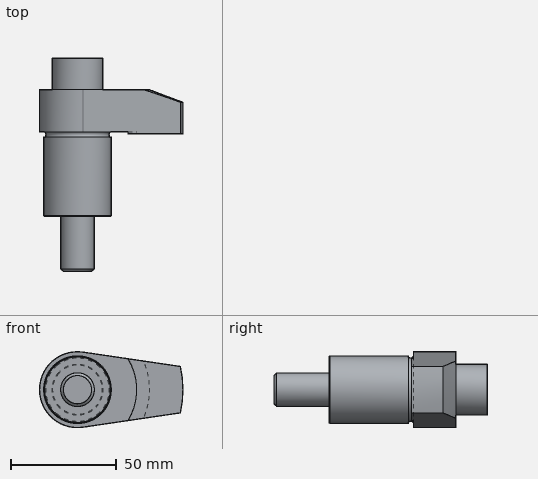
import cadquery as cq
import math

knob_length = 15.0
hub_length = 20.0
body_length = 40.0
pin_length = 26.0

knob_diameter = 24.0
hub_diameter = 36.0
body_diameter = 32.0
pin_diameter = 16.0

knob_chamfer = 0.3
body_chamfer = 0.5
pin_chamfer = 1.3
groove_width = 2.4
groove_diameter = 30.0
groove_hub_diameter = 31.5
groove_body_diameter = 30.8

arm_tip_radius = 49.9
arm_pad_radius = 28.0
arm_slope_radius = 34.0
arm_pad_height = 0.9
arm_slope_drop = 6.0
arm_tip_half_width = 11.0

hub_radius = hub_diameter / 2


def revolve_about_y(profile):
    """Turn a closed (radius, Y) profile a full revolution about the Y axis."""
    return profile.close().revolve(360, (0, 0, 0), (0, 1, 0))


def make_spindle():
    """Knob, hub core, grooved body and pin as one turned shape."""
    knob_radius = knob_diameter / 2
    body_radius = body_diameter / 2
    pin_radius = pin_diameter / 2
    body_end = -body_length
    pin_end = body_end - pin_length
    knob_end = hub_length + knob_length
    profile = (
        cq.Workplane("XY")
        .moveTo(0, pin_end)
        .lineTo(pin_radius - pin_chamfer, pin_end)
        .lineTo(pin_radius, pin_end + pin_chamfer)
        .lineTo(pin_radius, body_end)
        .lineTo(body_radius - body_chamfer, body_end)
        .lineTo(body_radius, body_end + body_chamfer)
        .lineTo(body_radius, -groove_width)
        .lineTo(groove_body_diameter / 2, -groove_width)
        .threePointArc((groove_diameter / 2, -groove_width / 2), (groove_hub_diameter / 2, 0))
        .lineTo(hub_radius, 0)
        .lineTo(hub_radius, hub_length)
        .lineTo(knob_radius, hub_length)
        .lineTo(knob_radius, knob_end - knob_chamfer)
        .lineTo(knob_radius - knob_chamfer, knob_end)
        .lineTo(0, knob_end)
    )
    return revolve_about_y(profile)


def make_arm():
    """Turned disc with a raised front pad and a conical back, cut to a tapering arm."""
    disc = revolve_about_y(
        cq.Workplane("XY")
        .moveTo(0, 0)
        .lineTo(arm_pad_radius, 0)
        .lineTo(arm_pad_radius, -arm_pad_height)
        .lineTo(arm_tip_radius, -arm_pad_height)
        .lineTo(arm_tip_radius, hub_length - arm_slope_drop)
        .lineTo(arm_slope_radius, hub_length)
        .lineTo(0, hub_length)
    )

    corner_angle = math.asin(arm_tip_half_width / arm_tip_radius)
    tangent_angle = corner_angle + math.acos(hub_radius / arm_tip_radius)
    tangent_x = hub_radius * math.cos(tangent_angle)
    tangent_z = hub_radius * math.sin(tangent_angle)
    outline_end_x = arm_tip_radius + 1
    outline_end_z = tangent_z - (outline_end_x - tangent_x) / math.tan(tangent_angle)
    outline = (
        cq.Workplane("XZ", origin=(0, hub_length, 0))
        .moveTo(0, 0)
        .lineTo(tangent_x, tangent_z)
        .lineTo(outline_end_x, outline_end_z)
        .lineTo(outline_end_x, -outline_end_z)
        .lineTo(tangent_x, -tangent_z)
        .close()
        .extrude(hub_length + arm_pad_height)
    )
    return disc.intersect(outline)


result = make_spindle().union(make_arm())